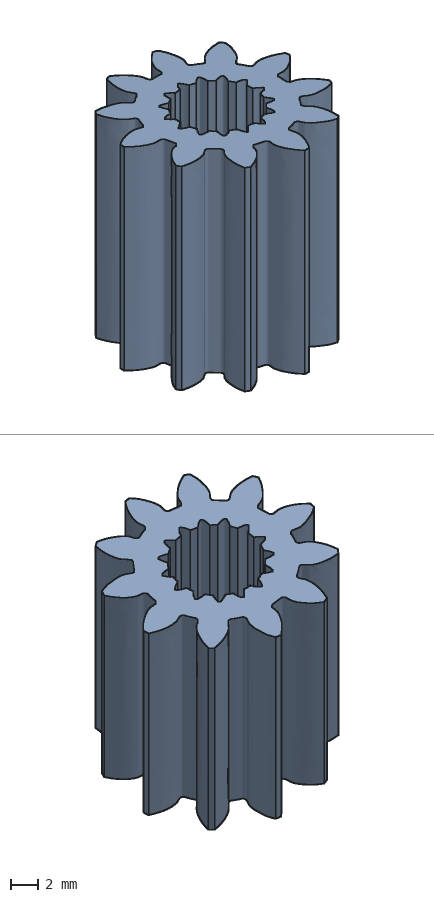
import cadquery as cq
import math

face_width = 19.05
tooth_count = 11
tip_radius = 8.92
root_radius = 6.05
base_radius = 6.76
root_fillet = 0.3

base_half_width = 1.18
base_half_angle = base_half_width / base_radius

first_tooth_angle = math.pi
tooth_pitch = 2 * math.pi / tooth_count
flank_points = 5

notch_count = 15
bore_radius = 3.56
notch_mouth_half_width = 0.44
notch_middle_radius = 3.89
notch_middle_half_width = 0.3
notch_shoulder_radius = 4.17
notch_shoulder_half_width = 0.11
notch_tip_radius = 4.23


def polar(radius, angle):
    return (radius * math.cos(angle), radius * math.sin(angle))


def flank_point(roll, centre_angle, side):
    """Point on an involute flank after the generating line has rolled by an angle."""
    radius = base_radius * math.hypot(1, roll)
    return polar(radius, centre_angle + side * (base_half_angle - roll + math.atan(roll)))


def flank_direction(roll, centre_angle, side):
    """Outward tangent of an involute flank: radial at the base, turning with the roll."""
    return polar(1, centre_angle + side * (base_half_angle - roll))


def toothed_body():
    """External gear: involute flanks, radial below the base circle, filleted at the root."""
    tip_roll = math.sqrt((tip_radius / base_radius) ** 2 - 1)
    rolls = [tip_roll * i / (flank_points - 1) for i in range(flank_points)]
    outline = cq.Workplane("XY").moveTo(*polar(root_radius, first_tooth_angle - base_half_angle))
    for i in range(tooth_count):
        centre = first_tooth_angle + i * tooth_pitch
        rising = [flank_point(roll, centre, -1) for roll in rolls]
        falling = [flank_point(roll, centre, 1) for roll in reversed(rolls)]
        rising_ends = [flank_direction(roll, centre, -1) for roll in (0, tip_roll)]
        falling_ends = [flank_direction(roll, centre + math.pi, 1) for roll in (tip_roll, 0)]
        outline = (
            outline.lineTo(*rising[0])
            .spline(rising[1:], tangents=rising_ends, includeCurrent=True)
            .threePointArc(polar(tip_radius, centre), falling[0])
            .spline(falling[1:], tangents=falling_ends, includeCurrent=True)
            .lineTo(*polar(root_radius, centre + base_half_angle))
            .threePointArc(
                polar(root_radius, centre + tooth_pitch / 2),
                polar(root_radius, centre + tooth_pitch - base_half_angle),
            )
        )
    body = outline.close().extrude(face_width)
    fillet_limit = (root_radius + base_radius) / 2
    root_corners = body.edges("|Z").filter(
        lambda edge: math.hypot(edge.Center().x, edge.Center().y) < fillet_limit
    )
    return root_corners.fillet(root_fillet)


def notch_point(radius, half_width, centre_angle, side):
    """Point on a notch wall at a given radius and distance from the notch centreline."""
    return polar(radius, centre_angle + side * math.asin(half_width / radius))


def serrated_bore():
    """Solid filling the through bore and its rounded notches."""
    pitch = 2 * math.pi / notch_count
    outline = cq.Workplane("XY").moveTo(*notch_point(bore_radius, notch_mouth_half_width, 0, -1))
    for i in range(notch_count):
        centre = i * pitch
        outline = (
            outline.threePointArc(
                notch_point(notch_middle_radius, notch_middle_half_width, centre, -1),
                notch_point(notch_shoulder_radius, notch_shoulder_half_width, centre, -1),
            )
            .threePointArc(
                polar(notch_tip_radius, centre),
                notch_point(notch_shoulder_radius, notch_shoulder_half_width, centre, 1),
            )
            .threePointArc(
                notch_point(notch_middle_radius, notch_middle_half_width, centre, 1),
                notch_point(bore_radius, notch_mouth_half_width, centre, 1),
            )
            .threePointArc(
                polar(bore_radius, centre + pitch / 2),
                notch_point(bore_radius, notch_mouth_half_width, centre + pitch, -1),
            )
        )
    return outline.close().extrude(face_width)


result = toothed_body().cut(serrated_bore())